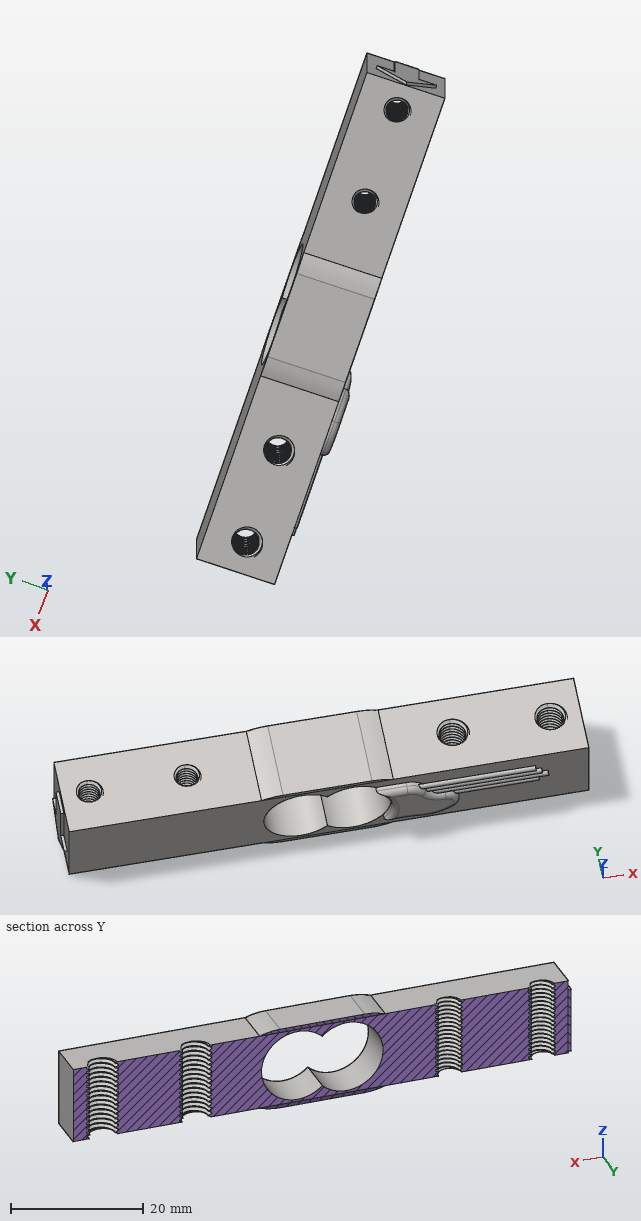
import cadquery as cq
import math


LENGTH = 80.0
WIDTH = 12.5
HEIGHT = 12.5
FRONT = -WIDTH / 2
TOP = HEIGHT / 2

WINDOW_X = 39.8
BORE_RADIUS = 5.8
BORE_SPACING = 8.0
RIGHT_BORE_X = WINDOW_X + BORE_SPACING / 2

HOLE_SPACING = 15.05
SMALL_HOLE_X = 4.3
SMALL_MINOR, SMALL_MAJOR, SMALL_PITCH = 3.3, 4.3, 0.7
LARGE_HOLE_X = 60.2
LARGE_MINOR, LARGE_MAJOR, LARGE_PITCH = 4.1, 5.15, 0.8
FLANK_SLOPE = math.tan(math.radians(30))
ROOT_FLAT_RATIO = 1 / 8

PAD_THICKNESS = 0.6
PAD_FLAT = 13.7
PAD_END = 3.3

ARROW_THICKNESS = 0.5
ARROW_TIP_Z = -5.95
ARROW_BASE_Z = 4.7
HEAD_LENGTH = 4.2
HEAD_WIDTH = 9.5
SHAFT_WIDTH = 3.9

WIRE_DIAMETER = 0.8
WIRE_PITCH = 1.0
WIRE_STANDOFF = 0.6
WIRE_START_X = 53.1
TOP_WIRE_Z = 3.7
WIRE_END_X = [71.7, 72.7, 73.65, 72.2]

GLUE_THICKNESS = 1.6
GLUE_FILLET = 1.0
GLUE_TOP_Z = 4.7
GLUE_LOW_Z = -3.55
GLUE_SHOULDER_X = 51.85
SHOULDER_END = (54.7, 3.1)
NECK_END = (57.7, 1.6)
NOSE_END = (59.0, -2.25)
BELLY_END = (53.7, -3.55)


def thread_void(minor, major, pitch):
    """Solid that fills a threaded hole along Z, with right-hand thread ends beyond the bar's faces.

    The thread section runs over one pitch as lower flank, root, upper flank and crest. Each turn is a
    set of helical strips between neighbouring section points. The root is on +Y at the top face.
    """
    crest = minor / 2
    root = major / 2
    root_half = pitch * ROOT_FLAT_RATIO / 2
    mouth_half = root_half + (root - crest) * FLANK_SLOPE
    section = [
        (crest, -mouth_half),
        (root, -root_half),
        (root, root_half),
        (crest, mouth_half),
        (crest, pitch - mouth_half),
    ]
    turns = math.ceil(HEIGHT / pitch) + 3

    def helix(point, turn):
        radius, z = point
        return cq.Wire.makeHelix(pitch, pitch, radius, center=cq.Vector(0, 0, z + turn * pitch)).Edges()[0]

    def helical_strips(turn):
        return [
            cq.Face.makeRuledSurface(helix(lower, turn), helix(upper, turn))
            for lower, upper in zip(section, section[1:])
        ]

    def end_cap(end_point, turn, section_turn):
        """Helicoid from the crest to the axis, and the flat step where it starts and ends."""
        low_z = end_point[1] + turn * pitch
        axis = cq.Edge.makeLine(cq.Vector(0, 0, low_z), cq.Vector(0, 0, low_z + pitch))
        outline = [cq.Vector(r, 0, z + section_turn * pitch) for r, z in section]
        axis_ends = [cq.Vector(0, 0, outline[-1].z), cq.Vector(0, 0, outline[0].z)]
        step = cq.Wire.makePolygon(outline + axis_ends, close=True)
        return [
            cq.Face.makeRuledSurface(helix(end_point, turn), axis),
            cq.Face.makeFromWires(step),
        ]

    faces = end_cap(section[0], 0, 0) + end_cap(section[-1], turns - 1, turns)
    for turn in range(turns):
        faces += helical_strips(turn)
    void = cq.Solid.makeSolid(cq.Shell.makeShell(faces))
    top_turn = turns - 1
    return cq.Workplane(void).rotate((0, 0, 0), (0, 0, 1), 90).translate((0, 0, TOP - top_turn * pitch))


def cut_tapped_holes(body, first_x, minor, major, pitch):
    hole = thread_void(minor, major, pitch)
    for x in (first_x, first_x + HOLE_SPACING):
        body = body.cut(hole.translate((x, 0, 0)))
    return body


def make_bar():
    body = cq.Workplane("XY").box(LENGTH, WIDTH, HEIGHT).translate((LENGTH / 2, 0, 0))
    for side in (-1, 1):
        bore = (
            cq.Workplane("XZ", origin=(WINDOW_X + side * BORE_SPACING / 2, 0, 0))
            .circle(BORE_RADIUS)
            .extrude(WIDTH, both=True)
        )
        body = body.cut(bore)
    body = cut_tapped_holes(body, SMALL_HOLE_X, SMALL_MINOR, SMALL_MAJOR, SMALL_PITCH)
    return cut_tapped_holes(body, LARGE_HOLE_X, LARGE_MINOR, LARGE_MAJOR, LARGE_PITCH)


def make_pad(side):
    """Pad on the top (side = 1) or bottom (side = -1), with ends that curve down to the bar."""
    flat_half = PAD_FLAT / 2
    full_half = flat_half + PAD_END
    base_z = side * TOP
    outer_z = side * (TOP + PAD_THICKNESS)
    return (
        cq.Workplane("XZ", origin=(WINDOW_X, WIDTH / 2, 0))
        .moveTo(-flat_half, outer_z)
        .lineTo(flat_half, outer_z)
        .tangentArcPoint((full_half, base_z), relative=False)
        .lineTo(-full_half, base_z)
        .threePointArc(pad_arc_middle(base_z, side), (-flat_half, outer_z))
        .close()
        .extrude(WIDTH)
    )


def pad_arc_middle(base_z, side):
    """Middle point of the left end arc, which is tangent to the pad's flat."""
    radius = (PAD_END ** 2 + PAD_THICKNESS ** 2) / (2 * PAD_THICKNESS)
    half_angle = math.asin(PAD_END / radius) / 2
    drop = radius * (1 - math.cos(half_angle))
    return (-PAD_FLAT / 2 - radius * math.sin(half_angle), base_z + side * (PAD_THICKNESS - drop))


def make_arrow():
    head_z = ARROW_TIP_Z + HEAD_LENGTH
    return (
        cq.Workplane("YZ")
        .polyline([
            (0, ARROW_TIP_Z),
            (HEAD_WIDTH / 2, head_z),
            (SHAFT_WIDTH / 2, head_z),
            (SHAFT_WIDTH / 2, ARROW_BASE_Z),
            (-SHAFT_WIDTH / 2, ARROW_BASE_Z),
            (-SHAFT_WIDTH / 2, head_z),
            (-HEAD_WIDTH / 2, head_z),
        ])
        .close()
        .extrude(-ARROW_THICKNESS)
    )


def make_wire(index):
    z = TOP_WIRE_Z - index * WIRE_PITCH
    return (
        cq.Workplane("YZ", origin=(WIRE_START_X, FRONT - WIRE_STANDOFF, z))
        .circle(WIRE_DIAMETER / 2)
        .extrude(WIRE_END_X[index] - WIRE_START_X)
    )


def bore_edge_x(z):
    return RIGHT_BORE_X + math.sqrt(BORE_RADIUS ** 2 - z ** 2)


def make_glue(wires):
    """Rounded blob whose left edge follows the bore; the wire roots are cut out of it."""
    blob = (
        cq.Workplane("XZ", origin=(0, FRONT, 0))
        .moveTo(bore_edge_x(GLUE_TOP_Z), GLUE_TOP_Z)
        .lineTo(GLUE_SHOULDER_X, GLUE_TOP_Z)
        .tangentArcPoint(SHOULDER_END, relative=False)
        .tangentArcPoint(NECK_END, relative=False)
        .tangentArcPoint(NOSE_END, relative=False)
        .tangentArcPoint(BELLY_END, relative=False)
        .tangentArcPoint((bore_edge_x(GLUE_LOW_Z), GLUE_LOW_Z), relative=False)
        .threePointArc((RIGHT_BORE_X + BORE_RADIUS, 0), (bore_edge_x(GLUE_TOP_Z), GLUE_TOP_Z))
        .close()
        .extrude(GLUE_THICKNESS)
        .faces("<Y")
        .edges()
        .fillet(GLUE_FILLET)
    )
    for wire in wires:
        blob = blob.cut(wire)
    return blob


bar = make_bar()
pads = [make_pad(side) for side in (1, -1)]
arrow = make_arrow()
wires = [make_wire(index) for index in range(len(WIRE_END_X))]
glue = make_glue(wires)

result = cq.Compound.makeCompound([
    bar.val(),
    *[pad.val() for pad in pads],
    arrow.val(),
    *[wire.val() for wire in wires],
    glue.val(),
])